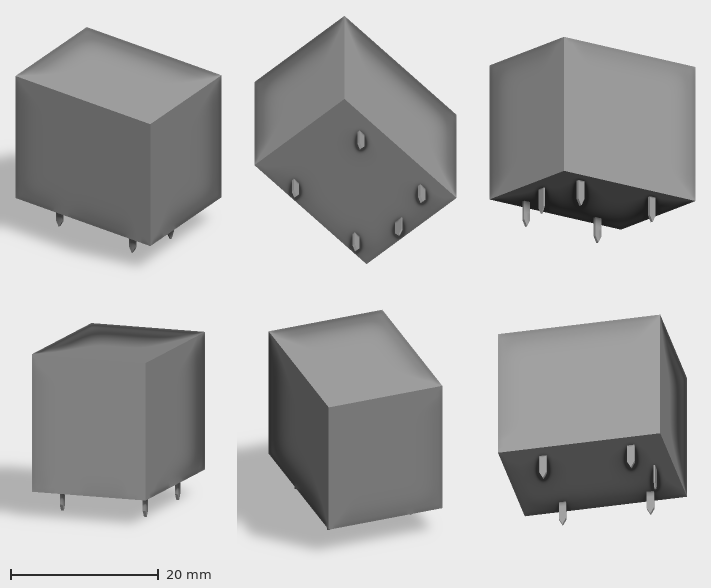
import cadquery as cq

body_length = 22.5
body_width = 16.5
total_height = 22.5
pin_length = 3.5
body_height = total_height - pin_length

taper_height = 0.88

outer_pin_width = 1.0
outer_pin_thickness = 0.4
outer_pin_tip = 0.05
outer_pin_left_x = -5.5
outer_pin_right_x = 6.7
outer_pin_y = 6.0

centre_pin_width = 1.2
centre_pin_thickness = 0.2
centre_pin_tip = 0.2
centre_pin_x = 8.7


def blade(width, thickness, tip_width):
    """Pointed blade with its width along X, standing on its tip at the origin."""
    return (
        cq.Workplane("XZ")
        .moveTo(-tip_width / 2, 0)
        .lineTo(tip_width / 2, 0)
        .lineTo(width / 2, taper_height)
        .lineTo(width / 2, pin_length)
        .lineTo(-width / 2, pin_length)
        .lineTo(-width / 2, taper_height)
        .close()
        .extrude(thickness / 2, both=True)
    )


result = (
    cq.Workplane("XY")
    .workplane(offset=pin_length)
    .rect(body_length, body_width)
    .extrude(body_height)
)

outer_pin = blade(outer_pin_width, outer_pin_thickness, outer_pin_tip)
for x in (outer_pin_left_x, outer_pin_right_x):
    for y in (-outer_pin_y, outer_pin_y):
        result = result.union(outer_pin.translate((x, y, 0)))

centre_pin = blade(centre_pin_width, centre_pin_thickness, centre_pin_tip)
centre_pin = centre_pin.rotate((0, 0, 0), (0, 0, 1), 90)
result = result.union(centre_pin.translate((centre_pin_x, 0, 0)))